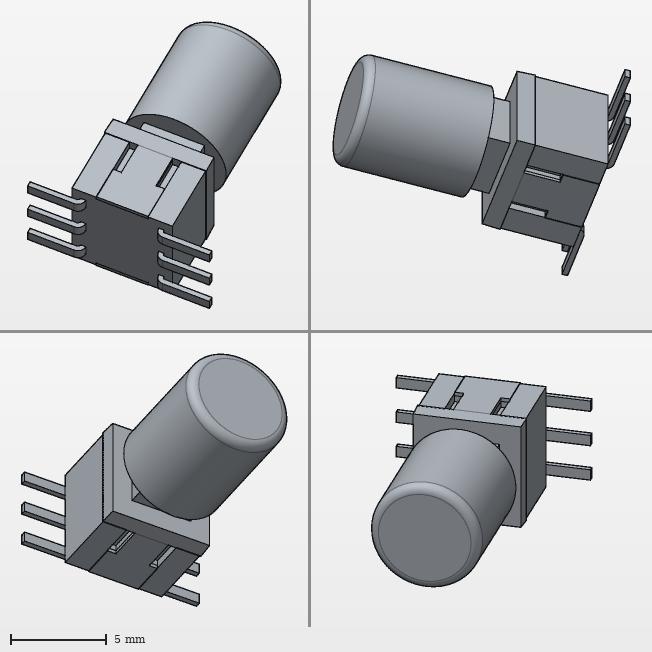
import cadquery as cq
import math


OVERALL_LENGTH = 13.75

TERMINAL_SPAN = 10.5
TERMINAL_PITCH = 2.0
TERMINAL_WIDTH = 0.6
TERMINAL_THICKNESS = 0.3
TERMINAL_INNER_RADIUS = 0.15
TERMINAL_OUTER_RADIUS = TERMINAL_INNER_RADIUS + TERMINAL_THICKNESS
TERMINAL_LEG_X = 2.1
TERMINALS_PER_SIDE = 3

HOUSING_SIDE = 5.8
HOUSING_LENGTH = 4.0

COVER_SIDE = 5.9
COVER_THICKNESS = 1.0
COVER_DRAFT = 2.0
ARM_WIDTH = 3.0
ARM_THICKNESS = 0.2

SLOT_WIDTH = 0.5
SLOT_LENGTH = 2.0
SLOT_DEPTH = 0.5

PLUNGER_SIDE = 3.5
PLUNGER_LENGTH = 1.29
KNOB_DIAMETER = 6.0
KNOB_FILLET = 0.5

COVER_START = HOUSING_LENGTH
PLUNGER_START = COVER_START + COVER_THICKNESS
KNOB_START = PLUNGER_START + PLUNGER_LENGTH
KNOB_LENGTH = OVERALL_LENGTH - TERMINAL_OUTER_RADIUS - KNOB_START


def plane_at(y):
    """Sketch plane across the button axis, facing +Y."""
    return cq.Workplane(cq.Plane(origin=(0, y, 0), xDir=(1, 0, 0), normal=(0, 1, 0)))


def box_between(x_range, y_range, z_range):
    """Box given by its limits along each axis."""
    lows, highs = zip(x_range, y_range, z_range)
    lengths = [high - low for low, high in zip(lows, highs)]
    return cq.Workplane().box(*lengths, centered=False).translate(lows)


def make_terminal():
    """Right-hand terminal at mid height: a leg leaving the housing, bent outward."""
    leg_outer_x = TERMINAL_LEG_X + TERMINAL_THICKNESS
    bend_x = TERMINAL_LEG_X + TERMINAL_OUTER_RADIUS
    inner_y = TERMINAL_THICKNESS - TERMINAL_OUTER_RADIUS
    mid_bend = math.radians(45)
    inner_mid = TERMINAL_INNER_RADIUS * math.cos(mid_bend)
    outer_mid = TERMINAL_OUTER_RADIUS * math.cos(mid_bend)
    return (
        cq.Workplane()
        .moveTo(TERMINAL_LEG_X, 0)
        .threePointArc((bend_x - outer_mid, -outer_mid), (bend_x, -TERMINAL_OUTER_RADIUS))
        .lineTo(TERMINAL_SPAN / 2, -TERMINAL_OUTER_RADIUS)
        .lineTo(TERMINAL_SPAN / 2, inner_y)
        .lineTo(bend_x, inner_y)
        .threePointArc((bend_x - inner_mid, -inner_mid), (leg_outer_x, 0))
        .close()
        .extrude(TERMINAL_WIDTH / 2, both=True)
    )


def make_arm():
    """Upper clip arm: narrow between the slots, full width beyond them."""
    top = COVER_SIDE / 2
    z_range = (top - ARM_THICKNESS, top)
    arm = box_between((-ARM_WIDTH / 2, ARM_WIDTH / 2), (0, COVER_START), z_range)
    return arm.cut(make_slots())


def make_slots():
    """Two slots beside the upper arm, running back from the cover plate."""
    z_range = (HOUSING_SIDE / 2 - SLOT_DEPTH, COVER_SIDE / 2)
    y_range = (COVER_START - SLOT_LENGTH, COVER_START)
    right = box_between((ARM_WIDTH / 2 - SLOT_WIDTH, ARM_WIDTH / 2), y_range, z_range)
    return right.union(right.mirror("YZ"))


def make_housing():
    """Square block with recesses for the arms and six terminals moulded in."""
    housing = plane_at(0).rect(HOUSING_SIDE, HOUSING_SIDE).extrude(HOUSING_LENGTH)
    for cutter in (make_arm(), make_slots()):
        housing = housing.cut(cutter).cut(cutter.mirror("XY"))
    terminal = make_terminal()
    for row in range(TERMINALS_PER_SIDE):
        z = (row - (TERMINALS_PER_SIDE - 1) / 2) * TERMINAL_PITCH
        placed = terminal.translate((0, 0, z))
        housing = housing.union(placed).union(placed.mirror("YZ"))
    return housing


def make_cover():
    """Drafted plate on the front of the housing, with an arm above and below."""
    outline = plane_at(COVER_START).rect(COVER_SIDE, COVER_SIDE)
    plate = outline.extrude(COVER_THICKNESS, taper=COVER_DRAFT)
    arm = make_arm()
    return plate.union(arm).union(arm.mirror("XY"))


def make_plunger():
    """Square stem between the cover and the knob."""
    return plane_at(PLUNGER_START).rect(PLUNGER_SIDE, PLUNGER_SIDE).extrude(PLUNGER_LENGTH)


def make_knob():
    """Round button with a rounded front edge."""
    knob = plane_at(KNOB_START).circle(KNOB_DIAMETER / 2).extrude(KNOB_LENGTH)
    return knob.faces(">Y").edges().fillet(KNOB_FILLET)


housing = make_housing()
cover = make_cover()
plunger = make_plunger()
knob = make_knob()

result = cq.Compound.makeCompound([housing.val(), cover.val(), plunger.val(), knob.val()])